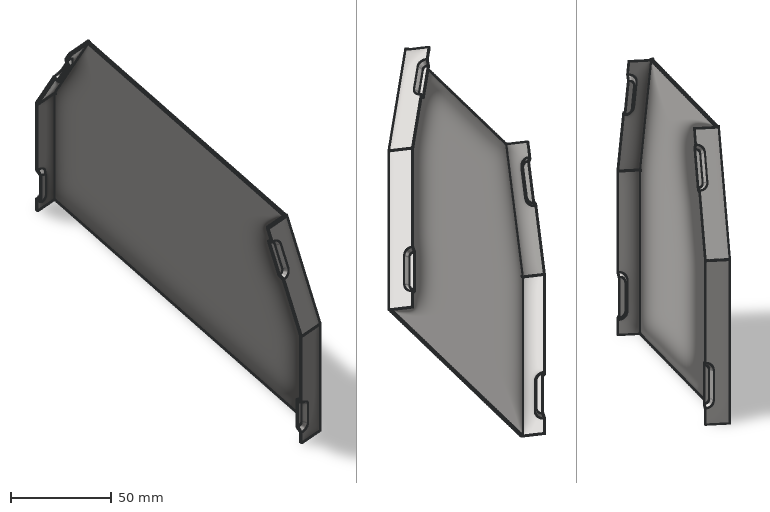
import cadquery as cq
import math

width = 200.0
depth = 12.5
sheet = 1.2
panel_height = 145.5
kink_height = 84.0
top_inset = 25.0
tip_width = 1.8
relief_height = 0.5
relief_length = 2.0

grip_straight = 14.8
grip_radius = 4.2
floor_radius = 2.5
grip_depth = 2.8
lower_grip_height = 20.0
upper_grip_height = 127.5

half_width = width / 2
half_top = half_width - top_inset
lean = math.atan2(top_inset, panel_height - kink_height)
grip_taper = math.atan2(grip_radius - floor_radius, grip_depth)


def prism(points, length):
    """Extrude an XZ outline from the back plane Y = 0 toward -Y."""
    return cq.Workplane("XZ").polyline(points).close().extrude(length)


def panel():
    outline = [
        (-half_width, 0),
        (half_width, 0),
        (half_width, kink_height),
        (half_top, panel_height),
        (-half_top, panel_height),
        (-half_width, kink_height),
    ]
    return prism(outline, sheet)


def left_flange():
    slanted_thickness = sheet / math.cos(lean)
    inner_kink_height = kink_height - sheet * math.tan(lean / 2)
    outline = [
        (-half_width, 0),
        (-half_width, kink_height),
        (-half_top, panel_height),
        (-half_top + slanted_thickness, panel_height),
        (-half_width + sheet, inner_kink_height),
        (-half_width + sheet, 0),
    ]
    return prism(outline, depth)


def left_tip():
    """Corner of the panel whose end is square to the slanted side."""
    slope = math.tan(lean)
    tip_height = tip_width * slope / (1 + slope**2)
    outline = [
        (-half_top, panel_height),
        (-half_top + tip_height * slope, panel_height + tip_height),
        (-half_top + tip_width, panel_height),
        (-half_top, panel_height - sheet),
    ]
    return prism(outline, sheet)


def tapered_slot(plane, radius, height):
    return (
        cq.Workplane(plane)
        .slot2D(grip_straight + 2 * radius, 2 * radius)
        .extrude(height, taper=math.degrees(grip_taper))
    )


def add_grip(flange, x, z, angle):
    """Press a hollow of constant wall thickness inward from the outer face."""
    along_edge = (math.sin(angle), 0, math.cos(angle))
    inward = (math.cos(angle), 0, -math.sin(angle))
    plane = cq.Plane(origin=(x, -depth, z), xDir=along_edge, normal=inward)
    shell_radius = grip_radius + sheet / math.cos(grip_taper)
    shell = tapered_slot(plane, shell_radius, grip_depth + sheet)
    hollow = tapered_slot(plane, grip_radius, grip_depth)
    within_depth = cq.Workplane("XY").box(
        width, depth, panel_height, centered=(True, False, False)
    ).translate((0, -depth, 0))
    return flange.union(shell.intersect(within_depth)).cut(hollow)


upper_grip_x = -half_width + (upper_grip_height - kink_height) * math.tan(lean)

left_side = left_flange().union(left_tip())
left_side = add_grip(left_side, -half_width, lower_grip_height, 0)
left_side = add_grip(left_side, upper_grip_x, upper_grip_height, lean)
right_side = left_side.mirror("YZ")

result = panel().union(left_side).union(right_side)

for relief_x in (-half_width, half_width):
    relief = cq.Workplane("XY").box(
        2 * relief_length, 2 * depth, relief_height, centered=(True, True, False)
    ).translate((relief_x, -depth / 2, kink_height - relief_height))
    result = result.cut(relief)